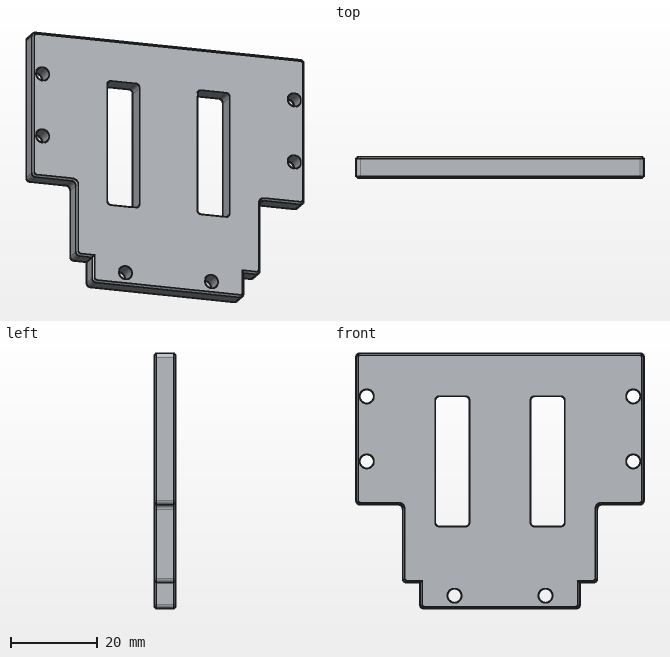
import cadquery as cq

plate_width = 66.5
plate_height = 59.0
plate_thickness = 5.0
edge_chamfer = 0.5

body_width = 45.0
tab_width = 37.0
top_section_height = 35.0
tab_height = 6.0
outline_corner_radius = 1.0

window_width = 7.85
window_height = 30.0
window_spacing = 22.0
window_top_offset = 10.0
window_corner_radius = 0.9

hole_diameter = 3.2
side_hole_edge_offset = 2.5
side_hole_top_offsets = (10.0, 25.0)
tab_hole_spacing = 21.0
tab_hole_height = 3.0

half_plate = plate_width / 2
half_body = body_width / 2
half_tab = tab_width / 2
shoulder_z = plate_height - top_section_height
window_center_z = plate_height - window_top_offset - window_height / 2
side_hole_x = half_plate - side_hole_edge_offset


def front_plane():
    """XZ sketch plane on the back face, extruding toward -Y."""
    return cq.Workplane("XZ", origin=(0, plate_thickness, 0))


def make_plate():
    """Stepped plate with rounded outline corners and chamfered rims."""
    right_side = [
        (half_tab, 0),
        (half_tab, tab_height),
        (half_body, tab_height),
        (half_body, shoulder_z),
        (half_plate, shoulder_z),
        (half_plate, plate_height),
    ]
    left_side = [(-x, z) for x, z in reversed(right_side)]
    plate = front_plane().polyline(right_side + left_side).close().extrude(plate_thickness)

    rounded_corners = [
        (half_tab, 0),
        (half_body, tab_height),
        (half_body, shoulder_z),
        (half_plate, shoulder_z),
        (half_plate, plate_height),
    ]
    plate = round_corners(plate, rounded_corners, outline_corner_radius)
    return plate.faces("|Y").edges().chamfer(edge_chamfer)


def round_corners(plate, corners, radius):
    """Fillet the through-thickness edges at the given corners on both sides."""
    for x, z in corners:
        for side in (-1, 1):
            middle_of_edge = (side * x, plate_thickness / 2, z)
            edge = plate.edges("|Y").edges(cq.NearestToPointSelector(middle_of_edge))
            plate = edge.fillet(radius)
    return plate


def make_windows():
    """Cutters for the two rounded vertical windows."""
    centers = [(side * window_spacing / 2, window_center_z) for side in (-1, 1)]
    cutters = front_plane().pushPoints(centers).rect(window_width, window_height).extrude(plate_thickness)
    return cutters.edges("|Y").fillet(window_corner_radius)


def make_holes():
    """Cutters for the screw holes along the sides and in the tab."""
    centers = []
    for side in (-1, 1):
        centers.append((side * tab_hole_spacing / 2, tab_hole_height))
        for top_offset in side_hole_top_offsets:
            centers.append((side * side_hole_x, plate_height - top_offset))
    return front_plane().pushPoints(centers).circle(hole_diameter / 2).extrude(plate_thickness)


result = make_plate().cut(make_windows()).cut(make_holes())